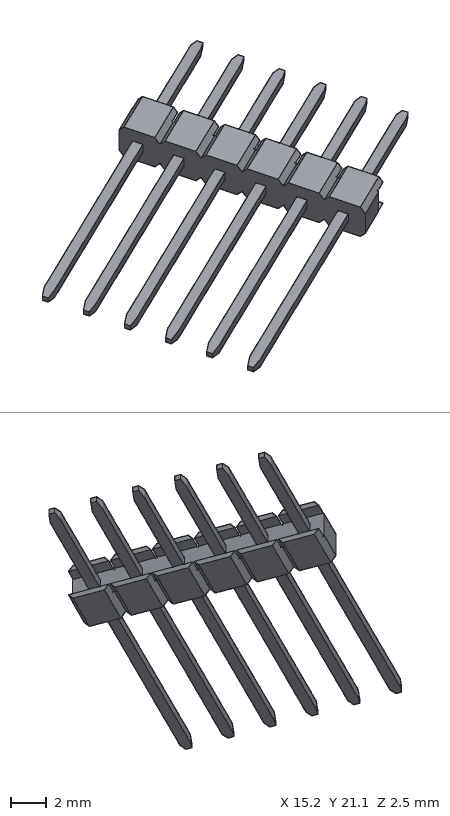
import cadquery as cq

pin_count = 6
body_length = 15.23
pitch = body_length / pin_count
body_depth = 2.53
body_height = 2.5

corner_width = 0.32
corner_drop = 0.42

recess_depth = 0.72
lip_thickness = 0.35

overall_length = 21.1
front_reach = 12.62
pin_size = 0.63
tip_size = 0.35
tip_length = 0.57
pin_offset = -0.1

pin_start = -front_reach
pin_end = pin_start + overall_length
cell_centers = [(i - (pin_count - 1) / 2) * pitch for i in range(pin_count)]


def make_cell(center_x):
    """One octagonal cell of the body, extruded from front to rear."""
    half_width = pitch / 2
    half_height = body_height / 2
    flat_x = half_width - corner_width
    flat_z = half_height - corner_drop
    outline = [
        (-flat_x, half_height),
        (flat_x, half_height),
        (half_width, flat_z),
        (half_width, -flat_z),
        (flat_x, -half_height),
        (-flat_x, -half_height),
        (-half_width, -flat_z),
        (-half_width, flat_z),
    ]
    cell = cq.Workplane("XZ").polyline(outline).close().extrude(-body_depth)
    return cell.translate((center_x, 0, 0))


def make_body():
    """The row of cells with the rear recess cut along its full length."""
    body = make_cell(cell_centers[0])
    for center_x in cell_centers[1:]:
        body = body.union(make_cell(center_x))
    recess = cq.Workplane("XY").box(body_length, recess_depth, body_height - 2 * lip_thickness)
    return body.cut(recess.translate((0, body_depth - recess_depth / 2, 0)))


def make_tip(base_y, end_y):
    """A square taper from the full pin size at base_y to the tip size at end_y."""
    return (
        cq.Workplane("XZ", origin=(0, base_y, 0))
        .rect(pin_size, pin_size)
        .workplane(offset=base_y - end_y)
        .rect(tip_size, tip_size)
        .loft(ruled=True)
    )


def make_pin():
    """One straight pin, centred on X = 0, with a taper at each end."""
    shank_start = pin_start + tip_length
    shank_end = pin_end - tip_length
    shank_length = shank_end - shank_start
    shank = cq.Workplane("XY").box(pin_size, shank_length, pin_size)
    pin = shank.translate((0, (shank_start + shank_end) / 2, 0))
    return pin.union(make_tip(shank_start, pin_start)).union(make_tip(shank_end, pin_end))


result = make_body()
pin = make_pin()
for center_x in cell_centers:
    result = result.union(pin.translate((center_x + pin_offset, 0, 0)))